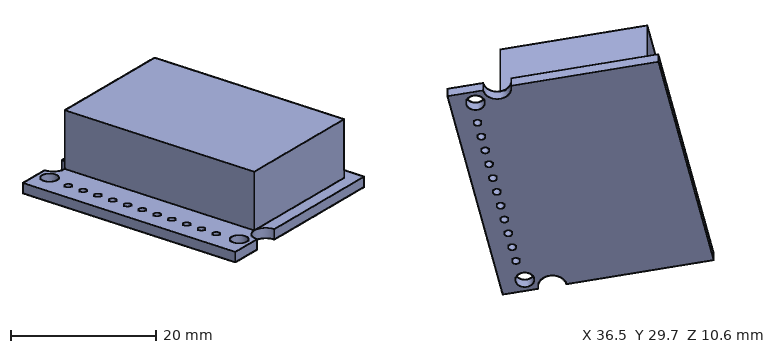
import cadquery as cq

board_length = 36.5
board_width = 29.7
board_thickness = 1.6

total_height = 10.6
housing_margin = 1.97
housing_width = 20.75
housing_length = board_length - 2 * housing_margin
housing_height = total_height - board_thickness
housing_center_y = board_width - housing_margin - housing_width / 2
housing_front_y = housing_center_y - housing_width / 2

notch_radius = housing_margin

mount_diameter = 2.6
mount_spacing = housing_length
mount_y = 3.55

pin_hole_diameter = 1.1
pin_hole_count = 11
pin_row_length = 25.4
pin_hole_pitch = pin_row_length / (pin_hole_count - 1)
pin_hole_y = 3.05


def through_cutters(points, diameter):
    """Vertical cylinders through the board thickness."""
    return cq.Workplane("XY").pushPoints(points).circle(diameter / 2).extrude(board_thickness)


def make_board():
    """Flat board, centred on X with its front edge at Y = 0."""
    plate = cq.Workplane("XY").box(
        board_length, board_width, board_thickness, centered=(True, False, False)
    )
    notch_points = [(side * board_length / 2, housing_front_y) for side in (-1, 1)]
    mount_points = [(side * mount_spacing / 2, mount_y) for side in (-1, 1)]
    first_pin_x = -pin_row_length / 2
    pin_points = [(first_pin_x + i * pin_hole_pitch, pin_hole_y) for i in range(pin_hole_count)]

    plate = plate.cut(through_cutters(notch_points, 2 * notch_radius))
    plate = plate.cut(through_cutters(mount_points, mount_diameter))
    return plate.cut(through_cutters(pin_points, pin_hole_diameter))


def make_housing():
    """Plain rectangular block resting on the top face of the board."""
    return (
        cq.Workplane("XY", origin=(0, housing_center_y, board_thickness))
        .rect(housing_length, housing_width)
        .extrude(housing_height)
    )


board = make_board()
housing = make_housing()

result = cq.Compound.makeCompound([board.val(), housing.val()])